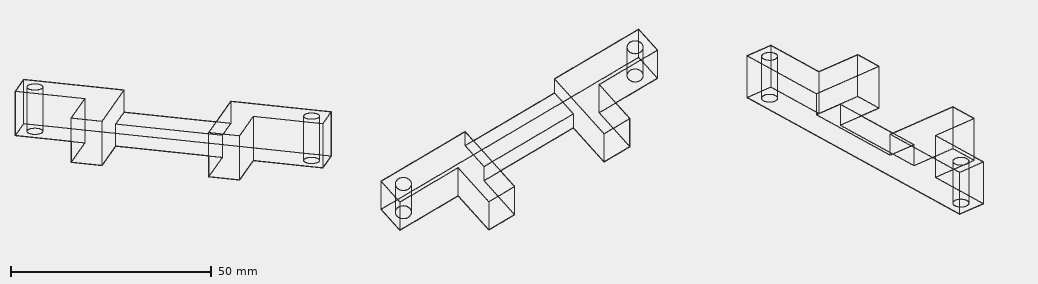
import cadquery as cq

bar_width = 8.0
bar_height = 6.0
overall_height = 12.0
arm_width = 8.0
arm_reach = 13.0
arm_gap = 27.6
end_length = 18.0
hole_diameter = 4.0
hole_inset = bar_width / 2

arm_inner_x = arm_gap / 2
arm_outer_x = arm_inner_x + arm_width
half_length = arm_outer_x + end_length
hole_x = half_length - hole_inset


def block(x_min, x_max, y_min, y_max, height):
    """Rectangular block standing on Z = 0."""
    size = (x_max - x_min, y_max - y_min, height)
    return cq.Workplane("XY").box(*size, centered=False).translate((x_min, y_min, 0))


def raised_end():
    """Full-height end of the bar on the +X side, including the root of the arm."""
    return block(arm_inner_x, half_length, 0, bar_width, overall_height)


def arm():
    """Full-height arm on the +X side, projecting towards -Y."""
    return block(arm_inner_x, arm_outer_x, -arm_reach, bar_width, overall_height)


def mounting_holes():
    """Vertical through holes, one near each end of the bar."""
    return (
        cq.Workplane("XY")
        .pushPoints([(-hole_x, bar_width / 2), (hole_x, bar_width / 2)])
        .circle(hole_diameter / 2)
        .extrude(overall_height)
    )


bar = block(-half_length, half_length, 0, bar_width, bar_height)
side = raised_end().union(arm())
result = bar.union(side).union(side.mirror("YZ")).cut(mounting_holes())